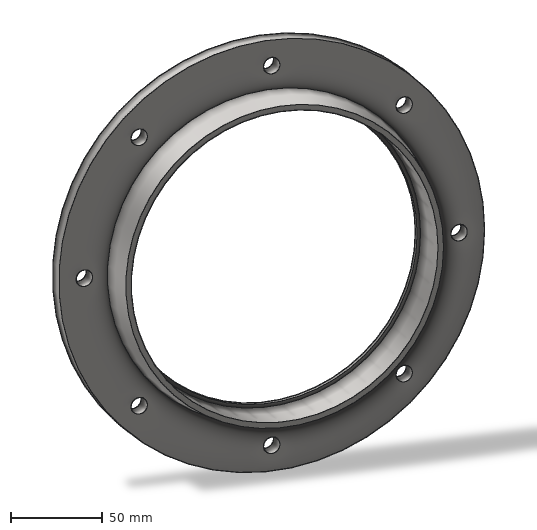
import cadquery as cq

flange_diameter = 250.0
flange_thickness = 10.0
overall_length = 30.0

hub_root_diameter = 193.0
hub_end_diameter = 186.5

lip_diameter = 176.0
bore_diameter = 180.0
lip_length = 3.0

hole_count = 8
hole_diameter = 9.5
hole_circle_diameter = 220.0


def ring_body():
    """Revolve the half section (X, radius) about the X axis."""
    section = [
        (0, lip_diameter / 2),
        (0, flange_diameter / 2),
        (flange_thickness, flange_diameter / 2),
        (flange_thickness, hub_root_diameter / 2),
        (overall_length, hub_end_diameter / 2),
        (overall_length, bore_diameter / 2),
        (lip_length, bore_diameter / 2),
        (lip_length, lip_diameter / 2),
    ]
    return cq.Workplane("XY").polyline(section).close().revolve(360, (0, 0, 0), (1, 0, 0))


def mounting_holes():
    """Evenly spaced cylinders through the flange."""
    return (
        cq.Workplane("YZ")
        .polarArray(hole_circle_diameter / 2, 0, 360, hole_count)
        .circle(hole_diameter / 2)
        .extrude(flange_thickness)
    )


result = ring_body().cut(mounting_holes())